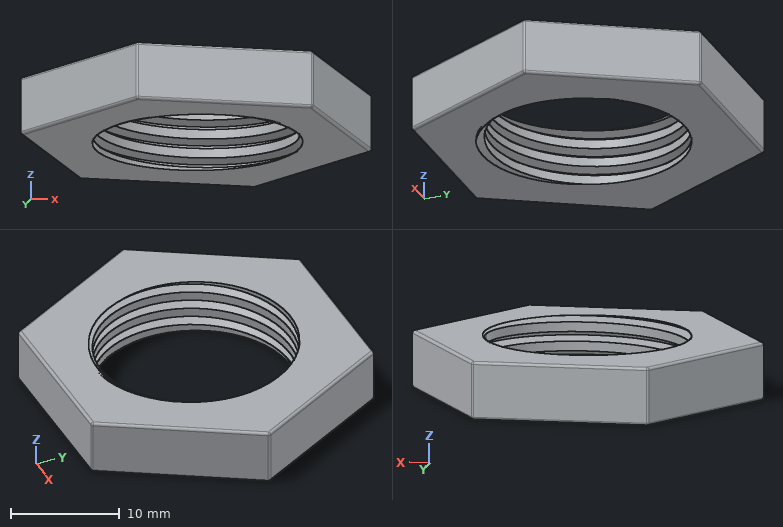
import cadquery as cq
import math

across_corners = 32.92
thickness = 5.45
edge_radius = 0.25

bore_radius = 9.55
pitch = 1.8
groove_depth = 0.8
flank_half_angle = 30.0
groove_top_angle = -63.0
bore_overlap = 0.13


def hexagonal_body():
    """Hexagonal plate with every edge rounded."""
    tip_loss = edge_radius * (1 / math.cos(math.radians(30)) - 1)
    sharp_across_corners = across_corners + 2 * tip_loss
    plate = cq.Workplane("XY").polygon(6, sharp_across_corners).extrude(thickness)
    return plate.edges().fillet(edge_radius)


def thread_cutter():
    """Helical V-shaped cutter that runs out past both faces."""
    turns_to_top = math.ceil(thickness / pitch) + 1
    start_z = thickness - turns_to_top * pitch
    helix_height = (turns_to_top + 1) * pitch
    helix = cq.Wire.makeHelix(pitch, helix_height, bore_radius)

    inner_radius = bore_radius - bore_overlap
    root_radius = bore_radius + groove_depth
    half_width = (root_radius - inner_radius) * math.tan(math.radians(flank_half_angle))
    profile = (
        cq.Workplane("XZ")
        .moveTo(inner_radius, -half_width)
        .lineTo(root_radius, 0)
        .lineTo(inner_radius, half_width)
        .close()
    )
    cutter = profile.sweep(cq.Workplane(obj=helix), isFrenet=True)
    return cutter.rotate((0, 0, 0), (0, 0, 1), groove_top_angle).translate((0, 0, start_z))


def threaded_bore():
    """Plain bore joined with the part of the thread cutter inside the thickness."""
    slab = cq.Workplane("XY").circle(across_corners / 2).extrude(thickness)
    bore = cq.Workplane("XY").circle(bore_radius).extrude(thickness)
    return bore.union(thread_cutter().intersect(slab))


result = hexagonal_body().cut(threaded_bore())